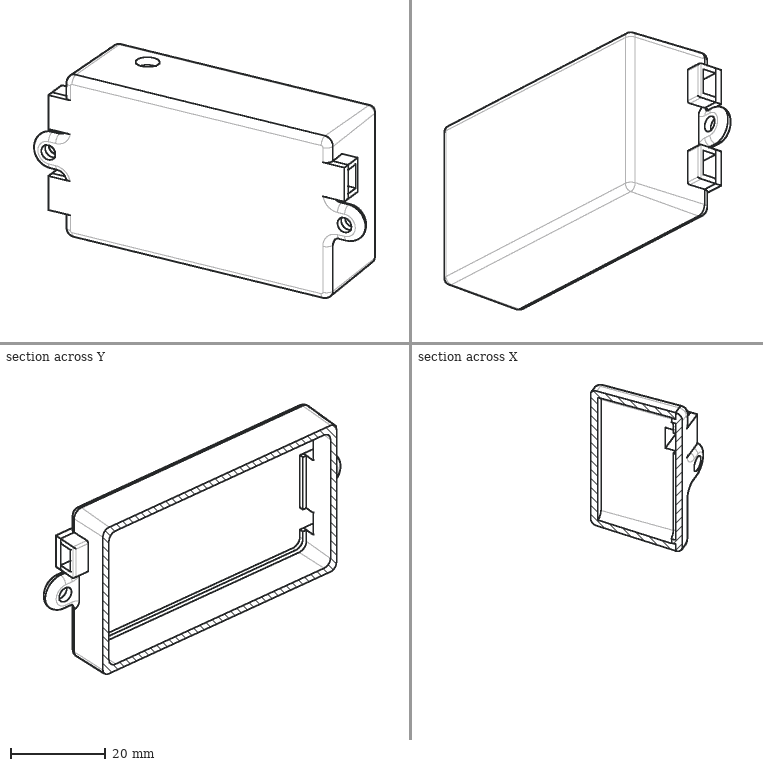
import cadquery as cq
import math

body_length = 65.0
body_height = 38.0
total_depth = 21.6
corner_radius = 2.0
draft_angle = 1.5
wall = 1.8

seam_y = 1.6
edge_flat = 0.001
edge_radius = seam_y - edge_flat
back_edge_radius = 1.5
rim_depth = 1.0
rim_thickness = 1.0

ear_radius = 4.2
ear_center_x = 36.25
ear_flare_radius = 2.0
ear_hole_diameter = 3.4

tab_places = [(-1, 1), (-1, -1), (1, 1)]
tab_width = 8.0
tab_center_z = 9.5
tab_end_x = ear_center_x
tab_back_y = 6.1
tab_wall = 1.2
tab_edge_radius = 0.5

button_diameter = 5.1
button_x = -20.7
button_y = 15.3

half_length = body_length / 2
half_height = body_height / 2
cover_depth = total_depth - seam_y
flare_half_width = ear_radius + ear_flare_radius
inner_wall_x = half_length - wall


def plane_at(y):
    """Work plane facing -Y at depth y, with local axes X and Z."""
    return cq.Workplane("XZ", origin=(0, y, 0))


def box_between(x_range, y_range, z_range):
    """Axis-aligned box between pairs of limits, given in any order."""
    sizes = [abs(b - a) for a, b in (x_range, y_range, z_range)]
    centers = [(a + b) / 2 for a, b in (x_range, y_range, z_range)]
    return cq.Workplane("XY").box(*sizes).translate(tuple(centers))


def rounded_block(y, depth, inset):
    """Upright rounded block growing from y towards +Y, smaller than the body by inset all round."""
    return (
        plane_at(y)
        .rect(body_length - 2 * inset, body_height - 2 * inset)
        .extrude(-depth)
        .edges("|Y")
        .fillet(corner_radius)
    )


def drafted_block(depth, inset):
    """Rounded block growing from the seam towards +Y and narrowing by the draft angle."""
    outline = cq.Sketch().rect(body_length - 2 * inset, body_height - 2 * inset)
    outline = outline.vertices().fillet(corner_radius)
    return plane_at(seam_y).placeSketch(outline).extrude(-depth, taper=draft_angle)


def ear_slab(end, y, depth):
    """Ear at one end, flaring tangentially into the end wall and reaching into the body."""
    flare_x = half_length + ear_flare_radius
    bend = ear_flare_radius * math.sqrt(0.5)
    bend_x = end * (flare_x - bend)
    bend_z = flare_half_width - bend
    return (
        plane_at(y)
        .moveTo(end * inner_wall_x, flare_half_width)
        .lineTo(end * half_length, flare_half_width)
        .threePointArc((bend_x, bend_z), (end * flare_x, ear_radius))
        .lineTo(end * ear_center_x, ear_radius)
        .threePointArc((end * (ear_center_x + ear_radius), 0), (end * ear_center_x, -ear_radius))
        .lineTo(end * flare_x, -ear_radius)
        .threePointArc((bend_x, -bend_z), (end * half_length, -flare_half_width))
        .lineTo(end * inner_wall_x, -flare_half_width)
        .close()
        .extrude(-depth)
    )


def eared_plate(y, rounded_face):
    """Plate with the body outline and both ears, rounded along the edge of one face."""
    plate = rounded_block(y, seam_y, 0)
    for end in (-1, 1):
        plate = plate.union(ear_slab(end, y, seam_y))
    return plate.faces(rounded_face).edges().fillet(edge_radius)


def ear_holes():
    return (
        plane_at(0)
        .pushPoints([(-ear_center_x, 0), (ear_center_x, 0)])
        .circle(ear_hole_diameter / 2)
        .extrude(-total_depth)
    )


def tab_block(end, side, y_range, root_x, margin):
    """Block over one tab's length, narrower than the tab by margin on each Z side."""
    half_width = tab_width / 2 - margin
    z_range = (side * (tab_center_z - half_width), side * (tab_center_z + half_width))
    return box_between((end * root_x, end * tab_end_x), y_range, z_range)


def tab_opening(end, side):
    """Cable opening through a tab and the end wall behind it."""
    inner_x = half_length - 2 * wall
    return tab_block(end, side, (seam_y, tab_back_y - tab_wall), inner_x, tab_wall)


def make_lid():
    lid = eared_plate(0, "<Y")
    for end, side in tab_places:
        lid = lid.union(tab_block(end, side, (0, seam_y), inner_wall_x, 0))

    rim = drafted_block(rim_depth, wall).cut(rounded_block(seam_y, rim_depth, wall + rim_thickness))
    for end, side in tab_places:
        rim = rim.cut(tab_opening(end, side))
    return lid.union(rim).cut(ear_holes())


def make_cover():
    cover = drafted_block(cover_depth, 0).faces(">Y").edges().fillet(back_edge_radius)

    ear_zone = (-flare_half_width, flare_half_width)
    for end in (-1, 1):
        zone = box_between((end * inner_wall_x, end * body_length), (0, total_depth), ear_zone)
        cover = cover.union(eared_plate(seam_y, ">Y").intersect(zone))

    for end, side in tab_places:
        tab = tab_block(end, side, (seam_y, tab_back_y), inner_wall_x, 0)
        outer_end = ">X" if end > 0 else "<X"
        tab = tab.faces(">Y").edges(f"|X or {outer_end}").fillet(tab_edge_radius)
        cover = cover.union(tab)

    cover = cover.cut(drafted_block(cover_depth - wall, wall))
    for end, side in tab_places:
        cover = cover.cut(tab_opening(end, side))

    button_hole = (
        cq.Workplane("XY")
        .center(button_x, button_y)
        .circle(button_diameter / 2)
        .extrude(half_height)
    )
    return cover.cut(button_hole).cut(ear_holes())


lid = make_lid()
cover = make_cover()

result = cq.Compound.makeCompound([lid.solids().val(), cover.solids().val()])